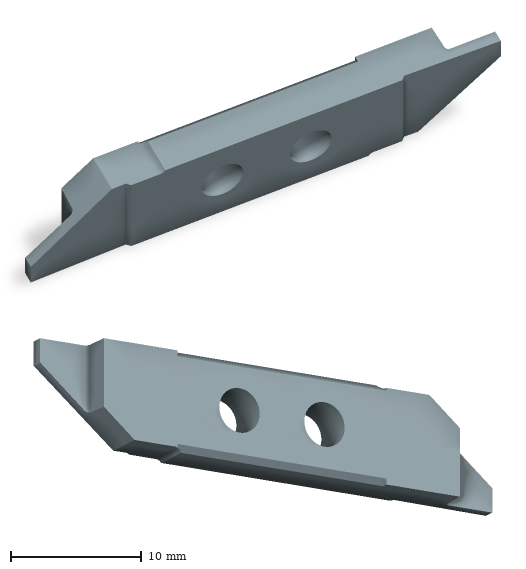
import cadquery as cq
import math

length = 40.0
width = 3.6
height = 8.0
half_length = length / 2
half_width = width / 2
half_height = height / 2

tip_height = 1.95
slant_end_y = 13.05
step_depth = 0.25
step_start_y = 8.65
step_radius = 0.6

tab_inner_x = 0.65
tab_outer_x = 1.65
shoulder_edge_y = 15.75
shoulder_root_y = 15.85
root_radius = 0.35
relief_floor_x = 1.5
relief_start_y = 11.5
relief_ramp = half_width - relief_floor_x

bevel_half_length = 9.25
bevel_width = 0.5
bevel_height = 0.5

hole_diameter = 3.55
hole_spacing = 7.5


def turned(points):
    """Points turned half a turn about the origin."""
    return [(-a, -b) for a, b in points]


def side_outline():
    """YZ outline extruded across the width, with a concave arc down to each step."""
    step_z = half_height - step_depth
    arc_run = math.sqrt(step_radius**2 - (step_radius - step_depth) ** 2)
    half_angle = math.acos(1 - step_depth / step_radius) / 2
    arc_top = (-step_start_y, half_height)
    arc_middle = (
        -step_start_y - arc_run + step_radius * math.sin(half_angle),
        step_z + step_radius * (1 - math.cos(half_angle)),
    )
    arc_bottom = (-step_start_y - arc_run, step_z)
    slant_top = (-slant_end_y, step_z)
    tip_top = (-half_length, tip_height - half_height)
    tip_bottom = (-half_length, -half_height)
    outline = cq.Workplane("YZ").moveTo(half_length, half_height)
    for turn in (list, turned):
        top, middle, bottom, slant, tip, corner = turn(
            [arc_top, arc_middle, arc_bottom, slant_top, tip_top, tip_bottom]
        )
        outline = outline.lineTo(*top).threePointArc(middle, bottom)
        outline = outline.lineTo(*slant).lineTo(*tip).lineTo(*corner)
    return outline.close().extrude(half_width, both=True)


def plan_outline():
    """XY outline with end tabs and reliefs, extruded through the height."""
    half_profile = [
        (half_width, relief_start_y),
        (relief_floor_x, relief_start_y + relief_ramp),
        (tab_outer_x, half_length),
        (tab_inner_x, half_length),
        (tab_inner_x, shoulder_root_y),
        (-half_width, shoulder_edge_y),
    ]
    mirrored_profile = [(x, -y) for x, y in reversed(half_profile)]
    body = cq.Workplane("XY").polyline(half_profile + mirrored_profile).close()
    body = body.extrude(half_height, both=True)
    for end in (1, -1):
        root = (tab_inner_x, end * shoulder_root_y, 0)
        body = body.edges(cq.selectors.NearestToPointSelector(root)).fillet(root_radius)
    return body


def bevel_cutter(side):
    """Triangular prism that bevels the top (side=1) or bottom (side=-1) edge."""
    corner = (-half_width, side * half_height)
    along_x = (bevel_width - half_width, side * half_height)
    along_z = (-half_width, side * (half_height - bevel_height))
    prism = cq.Workplane("XZ").polyline([corner, along_x, along_z]).close()
    return prism.extrude(bevel_half_length, both=True)


def hole_cutter():
    """Two round holes through the width."""
    centers = [(-hole_spacing / 2, 0), (hole_spacing / 2, 0)]
    holes = cq.Workplane("YZ").pushPoints(centers).circle(hole_diameter / 2)
    return holes.extrude(width, both=True)


result = side_outline().intersect(plan_outline())
for side in (1, -1):
    result = result.cut(bevel_cutter(side))
result = result.cut(hole_cutter())